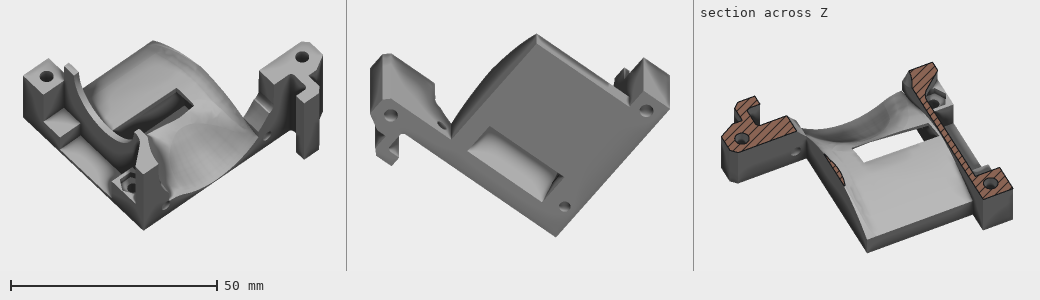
import cadquery as cq

TOTAL_Y = 56.56
FULL_H = 23.0
BODY_RIGHT = 45.0
OVERCUT = 1.0

BRACKET_DEPTH = 8.15
WALL_FRONT = 6.55
EAR_WIDTH = 7.65
EAR_H = 17.0
EAR_HOLE = (3.95, 4.2)
SCREW_D = 3.4
STEP_RIGHT = 13.85
STEP_H = 6.0
FLOOR_H = 1.05
FLOOR_RIGHT = 33.15
NUT_LEDGE_H = 8.0
BEVEL_FRONT_X = 42.0
BEVEL_WALL_X = 36.4
BEVEL_FILLET = 4.2
SADDLE_X = 22.6
SADDLE_R = 11.2
NUT_CENTRE = (36.95, 3.55)
NUT_HOLE_D = 2.8
NUT_CORNER_D = 6.8
NUT_FLOOR = 6.0
NUT_TOP = 9.4

BODY_LEFT = 5.65
BODY_BACK = 36.6
BODY_EDGE_H = 5.08
RIM_MID = (14.0, 9.9)
RIM_TOP = (25.0, 12.9)
SLOPE_END = (10.3, 7.28)
INNER_CURVE = [(19.7, 10.5), (24.0, 11.0), (28.5, 10.4), (34.5, 8.6), (39.4, 6.2), (BODY_RIGHT, 5.0)]
RIM_FILLET = 3.6
RIM_OVERRUN = 0.5

BOWL_Y = 23.35
BOWL_Z = 18.9
BOWL_R = 18.5
BOWL_TIP = (27.0, 6.0)
BOWL_CURVE = [(30.0, 8.9), (35.0, 13.6), (38.2, 16.0), (BODY_RIGHT, BOWL_R)]
LIP_FILLET = 10.0
LIP_POINT = (29.5, BOWL_Y, 10.3)

SLOT = [(23.3, 8.6), (28.7, 9.0), (28.9, 11.2), (30.1, 24.1), (29.9, 29.1), (23.6, 28.8)]
DUCT_LEFT = 23.3
DUCT_FRONT = 8.6
DUCT_BACK = 31.6
DUCT_FLOOR = 1.0
DUCT_CEILING = 9.3
DUCT_FLOOR_END = 30.6
DUCT_MOUTH = 39.4

POST_LEFT = 39.35
POST_HOLE = (43.05, 52.25)
POST_CORNER = 1.5
POST_FACE_TOP = (41.65, FULL_H)
POST_FACE_BOTTOM = (41.45, 15.3)
POST_NOSE_MID = (41.05, 13.4)
POST_NOSE_BACK = (40.4, 12.8)
POST_NOSE_FRONT = (40.0, 12.75)
POST_FOOT_MID = (38.65, 10.65)
POST_FOOT_FRONT = (BODY_BACK, 8.2)
HOOK_RIGHT = 54.0
HOOK_BACK = 49.7
HOOK_FRONT = 47.2
HOOK_TIP_Y = 43.5
HOOK_TIP_X = 51.0
HOOK_FILLET = 1.0
SHOULDER_X = 48.3
SHOULDER_Y = 52.3
POST_TOP_X = 45.8

CROSS_D = 2.8
CROSS_Z = 4.0
CROSS_OFFSET = 16.1
CROSS_FRONT_START = 32.75


def box(x0, x1, y0, y1, z0, z1):
    return cq.Workplane("XY").box(x1 - x0, y1 - y0, z1 - z0, centered=False).translate((x0, y0, z0))


def xz_sketch(y):
    """XZ workplane at the given Y; positive extrusions run toward -Y, negative ones toward +Y."""
    return cq.Workplane("XZ", origin=(0, y, 0))


def vertical_hole(centre, diameter):
    return cq.Workplane("XY").center(*centre).circle(diameter / 2).extrude(FULL_H)


def front_bracket():
    outline = (
        xz_sketch(0)
        .polyline([
            (0, 0), (BODY_RIGHT, 0), (BODY_RIGHT, FULL_H),
            (EAR_WIDTH, FULL_H), (EAR_WIDTH, EAR_H), (0, EAR_H),
        ])
        .close()
        .extrude(-BRACKET_DEPTH)
    )
    saddle = xz_sketch(0).center(SADDLE_X, FULL_H).circle(SADDLE_R).extrude(-BRACKET_DEPTH)
    step = box(EAR_WIDTH, STEP_RIGHT, 0, WALL_FRONT, STEP_H, FULL_H)
    floor = box(STEP_RIGHT, FLOOR_RIGHT, 0, WALL_FRONT, FLOOR_H, FULL_H)
    bracket = outline.cut(saddle).cut(step).cut(floor).cut(nut_ledge())
    nut = (
        cq.Workplane("XY", origin=(*NUT_CENTRE, NUT_FLOOR))
        .transformed(rotate=(0, 0, 90))
        .polygon(6, NUT_CORNER_D)
        .extrude(NUT_TOP - NUT_FLOOR)
    )
    return bracket.cut(nut).cut(vertical_hole(NUT_CENTRE, NUT_HOLE_D)).cut(vertical_hole(EAR_HOLE, SCREW_D))


def nut_ledge():
    """Space above the nut ledge, bounded by the rounded, bevelled wall."""
    corner_left = FLOOR_RIGHT - OVERCUT
    ledge = (
        cq.Workplane("XY", origin=(0, 0, NUT_LEDGE_H))
        .polyline([
            (corner_left, 0), (BEVEL_FRONT_X, 0),
            (BEVEL_WALL_X, WALL_FRONT), (corner_left, WALL_FRONT),
        ])
        .close()
        .extrude(FULL_H - NUT_LEDGE_H)
    )
    corner = cq.selectors.NearestToPointSelector((BEVEL_WALL_X, WALL_FRONT, FULL_H / 2))
    return ledge.edges("|Z").edges(corner).fillet(BEVEL_FILLET)


def shell_body():
    """Low arched body with an upturned, filleted rim along its back edge."""
    arch = (
        xz_sketch(BODY_BACK)
        .moveTo(BODY_LEFT, 0)
        .lineTo(BODY_LEFT, BODY_EDGE_H)
        .threePointArc(RIM_MID, RIM_TOP)
        .lineTo(BODY_RIGHT, RIM_TOP[1])
        .lineTo(BODY_RIGHT, 0)
        .close()
        .extrude(BODY_BACK - BRACKET_DEPTH)
    )
    slope = (SLOPE_END[1] - BODY_EDGE_H) / (SLOPE_END[0] - BODY_LEFT)
    start = (BODY_LEFT - OVERCUT, BODY_EDGE_H - slope * OVERCUT)
    hollow_back = BODY_BACK + RIM_OVERRUN
    hollow = (
        xz_sketch(hollow_back)
        .moveTo(*start)
        .lineTo(*SLOPE_END)
        .spline(INNER_CURVE, includeCurrent=True)
        .lineTo(BODY_RIGHT, FULL_H)
        .lineTo(start[0], FULL_H)
        .close()
        .extrude(hollow_back - BRACKET_DEPTH)
    )
    rim_edges = hollow.faces(">Y").edges("not(|Z or >Z)")
    hollow = hollow.newObject(rim_edges.vals()).fillet(RIM_FILLET)
    return arch.cut(hollow)


def scooped_shell():
    """Shell body with the bowl cut out and the edge between them rounded over."""
    shell = shell_body().cut(bowl())
    lip = cq.selectors.NearestToPointSelector(LIP_POINT)
    return shell.edges(lip).fillet(LIP_FILLET)


def bowl_half_plan(workplane):
    """Half outline of the flared bowl: axial position X against radius."""
    return (
        workplane.moveTo(BOWL_TIP[0], 0)
        .lineTo(*BOWL_TIP)
        .spline(BOWL_CURVE, includeCurrent=True)
        .lineTo(BODY_RIGHT, 0)
        .close()
    )


def bowl():
    """Flared bowl about an X axis, continued straight upward above that axis."""
    axis_plane = cq.Workplane("XY", origin=(0, BOWL_Y, BOWL_Z))
    round_part = bowl_half_plan(axis_plane).revolve(360, (0, 0, 0), (1, 0, 0))
    half = bowl_half_plan(axis_plane).extrude(FULL_H - BOWL_Z)
    return round_part.union(half).union(half.mirror("XZ", (0, BOWL_Y, 0)))


def duct():
    """Slot through the shell, opening into a duct whose mouth is in the underside."""
    slot = (
        cq.Workplane("XY", origin=(0, 0, DUCT_FLOOR))
        .polyline(SLOT)
        .close()
        .extrude(FULL_H - DUCT_FLOOR)
    )
    ceiling_end = DUCT_MOUTH - DUCT_CEILING
    chamber = (
        xz_sketch(DUCT_BACK)
        .polyline([
            (DUCT_LEFT, DUCT_FLOOR), (DUCT_FLOOR_END, DUCT_FLOOR), (DUCT_FLOOR_END, 0),
            (DUCT_MOUTH, 0), (ceiling_end, DUCT_CEILING), (DUCT_LEFT, DUCT_CEILING),
        ])
        .close()
        .extrude(DUCT_BACK - DUCT_FRONT)
    )
    return slot.union(chamber)


def rear_post():
    post = (
        cq.Workplane("XY")
        .polyline([
            (POST_LEFT, BODY_BACK), (BODY_RIGHT, BODY_BACK), (BODY_RIGHT, HOOK_FRONT),
            (HOOK_TIP_X, HOOK_FRONT), (HOOK_TIP_X, HOOK_TIP_Y), (HOOK_RIGHT, HOOK_TIP_Y),
            (HOOK_RIGHT, HOOK_BACK - POST_CORNER), (HOOK_RIGHT - POST_CORNER, HOOK_BACK),
            (SHOULDER_X, HOOK_BACK), (SHOULDER_X, SHOULDER_Y), (POST_TOP_X, TOTAL_Y),
            (POST_LEFT + POST_CORNER, TOTAL_Y), (POST_LEFT, TOTAL_Y - POST_CORNER),
        ])
        .close()
        .extrude(FULL_H)
    )
    for x in (BODY_RIGHT, HOOK_TIP_X):
        inner_corner = cq.selectors.NearestToPointSelector((x, HOOK_FRONT, FULL_H / 2))
        post = post.edges("|Z").edges(inner_corner).fillet(HOOK_FILLET)
    face_cutter = (
        cq.Workplane("YZ", origin=(POST_LEFT, 0, 0))
        .moveTo(*POST_FACE_TOP)
        .lineTo(*POST_FACE_BOTTOM)
        .threePointArc(POST_NOSE_MID, POST_NOSE_BACK)
        .lineTo(*POST_NOSE_FRONT)
        .threePointArc(POST_FOOT_MID, POST_FOOT_FRONT)
        .lineTo(BODY_BACK, FULL_H)
        .close()
        .extrude(BODY_RIGHT - POST_LEFT)
    )
    return post.cut(face_cutter).cut(vertical_hole(POST_HOLE, SCREW_D))


def cross_hole(y, x_start):
    return (
        cq.Workplane("YZ", origin=(x_start, y, CROSS_Z))
        .circle(CROSS_D / 2)
        .extrude(BODY_RIGHT - x_start)
    )


result = (
    front_bracket()
    .cut(bowl())
    .union(scooped_shell())
    .cut(duct())
    .union(rear_post())
    .cut(cross_hole(BOWL_Y - CROSS_OFFSET, CROSS_FRONT_START))
    .cut(cross_hole(BOWL_Y + CROSS_OFFSET, POST_LEFT))
)